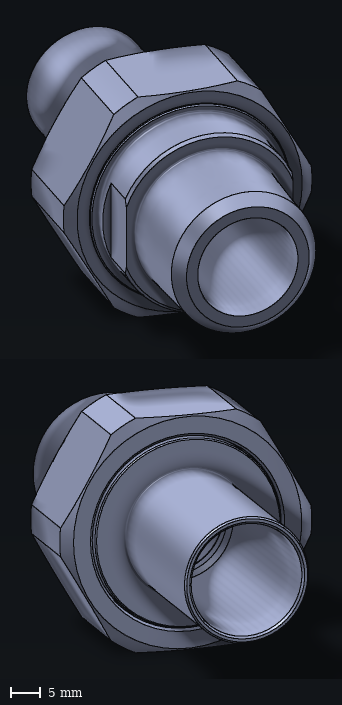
import cadquery as cq
import math

LENGTH = 76.0

TUBE_DIA = 22.05
TUBE_BORE = 19.6
TUBE_END_OUTER_CHAMFER = 0.3
TUBE_END_INNER_CHAMFER = 0.4
HUB_DIA = 33.0
HUB_START = 30.9
HUB_CHAMFER = 0.2
ROOT_FILLET = 0.4
THROAT_DIA = 18.2
THROAT_START = 36.5
THROAT_TAPER_LENGTH = 1.15

NUT_START = 31.3
NUT_END = 48.5
ACROSS_FLATS = 41.0
ACROSS_CORNERS = 44.7
FACE_DIA = 40.4
CORNER_CHAMFER_LENGTH = 0.9
LIP_BORE = 33.5
LIP_LENGTH = 3.05
LIP_CHAMFER = 0.45
LIP_END = NUT_START + LIP_LENGTH

JOINT_X = 39.5
THREAD_DIA = 36.0
THREAD_END = 49.1
THREAD_CHAMFER = 0.2
BODY_BORE = 18.0
COLLAR_DIA = HUB_DIA
COLLAR_END = 58.0
COLLAR_CHAMFER = 0.5
COLLAR_ROOT_FILLET = 0.6
FLAT_START = 50.8
FLAT_SPACING = 29.95
SPIGOT_BASE_DIA = 26.9
SPIGOT_TIP_DIA = 26.0
SPIGOT_ROOT_FILLET = 0.45
SPIGOT_CHAMFER = 2.0


def x_cylinder(diameter, start, end):
    """Solid cylinder along X."""
    return cq.Workplane("YZ", origin=(start, 0, 0)).circle(diameter / 2).extrude(end - start)


def revolve_about_x(profile):
    """Turn a closed profile of (x, radius) about the X axis."""
    return profile.close().revolve(360, (0, 0, 0), (1, 0, 0))


def root_arc(profile, x, radius, fillet, rising):
    """Add a concave quarter arc between a cylinder of this radius and a face at this x."""
    middle_offset = fillet * (1 - math.sqrt(0.5))
    if rising:
        middle = (x - middle_offset, radius + middle_offset)
        return profile.lineTo(x - fillet, radius).threePointArc(middle, (x, radius + fillet))
    middle = (x + middle_offset, radius + middle_offset)
    return profile.lineTo(x, radius + fillet).threePointArc(middle, (x + fillet, radius))


def make_tailpiece():
    tube_r = TUBE_DIA / 2
    bore_r = TUBE_BORE / 2
    hub_r = HUB_DIA / 2
    throat_r = THROAT_DIA / 2
    profile = (
        cq.Workplane("XY")
        .moveTo(0, bore_r + TUBE_END_INNER_CHAMFER)
        .lineTo(0, tube_r - TUBE_END_OUTER_CHAMFER)
        .lineTo(TUBE_END_OUTER_CHAMFER, tube_r)
    )
    profile = root_arc(profile, HUB_START, tube_r, ROOT_FILLET, rising=True)
    profile = (
        profile
        .lineTo(HUB_START, hub_r - HUB_CHAMFER)
        .lineTo(HUB_START + HUB_CHAMFER, hub_r)
        .lineTo(LIP_END, hub_r)
        .lineTo(LIP_END, THREAD_DIA / 2)
        .lineTo(JOINT_X, THREAD_DIA / 2)
        .lineTo(JOINT_X, throat_r)
        .lineTo(THROAT_START + THROAT_TAPER_LENGTH, throat_r)
        .lineTo(THROAT_START, bore_r)
        .lineTo(TUBE_END_INNER_CHAMFER, bore_r)
    )
    return revolve_about_x(profile)


def make_nut():
    corner_circle = ACROSS_FLATS / math.cos(math.pi / 6)
    hexagon = (
        cq.Workplane("YZ", origin=(NUT_START, 0, 0))
        .polygon(6, corner_circle)
        .extrude(NUT_END - NUT_START)
    )
    face_r = FACE_DIA / 2
    outer_r = ACROSS_CORNERS / 2
    envelope = revolve_about_x(
        cq.Workplane("XY")
        .moveTo(NUT_START, 0)
        .lineTo(NUT_START, face_r)
        .lineTo(NUT_START + CORNER_CHAMFER_LENGTH, outer_r)
        .lineTo(NUT_END - CORNER_CHAMFER_LENGTH, outer_r)
        .lineTo(NUT_END, face_r)
        .lineTo(NUT_END, 0)
    )
    lip_r = LIP_BORE / 2
    bore = revolve_about_x(
        cq.Workplane("XY")
        .moveTo(NUT_START, 0)
        .lineTo(NUT_START, lip_r + LIP_CHAMFER)
        .lineTo(NUT_START + LIP_CHAMFER, lip_r)
        .lineTo(LIP_END, lip_r)
        .lineTo(LIP_END, THREAD_DIA / 2)
        .lineTo(NUT_END, THREAD_DIA / 2)
        .lineTo(NUT_END, 0)
    )
    return hexagon.intersect(envelope).cut(bore)


def cut_wrench_flats(body):
    """Cut the two flats on the -Y and +Y sides of the collar."""
    cutter_depth = COLLAR_DIA
    for side in (-1, 1):
        cutter = cq.Workplane("XY").box(
            COLLAR_END - FLAT_START, cutter_depth, COLLAR_DIA, centered=(False, True, True)
        )
        offset = side * (FLAT_SPACING + cutter_depth) / 2
        body = body.cut(cutter.translate((FLAT_START, offset, 0)))
    return body


def make_body():
    thread_r = THREAD_DIA / 2
    collar_r = COLLAR_DIA / 2
    base_r = SPIGOT_BASE_DIA / 2
    tip_r = SPIGOT_TIP_DIA / 2
    profile = (
        cq.Workplane("XY")
        .moveTo(JOINT_X, 0)
        .lineTo(JOINT_X, thread_r)
        .lineTo(THREAD_END - THREAD_CHAMFER, thread_r)
        .lineTo(THREAD_END, thread_r - THREAD_CHAMFER)
    )
    profile = root_arc(profile, THREAD_END, collar_r, COLLAR_ROOT_FILLET, rising=False)
    profile = (
        profile
        .lineTo(COLLAR_END - COLLAR_CHAMFER, collar_r)
        .lineTo(COLLAR_END, collar_r - COLLAR_CHAMFER)
    )
    profile = root_arc(profile, COLLAR_END, base_r, SPIGOT_ROOT_FILLET, rising=False)
    profile = (
        profile
        .lineTo(LENGTH - SPIGOT_CHAMFER, tip_r)
        .lineTo(LENGTH, tip_r - SPIGOT_CHAMFER)
        .lineTo(LENGTH, 0)
    )
    body = cut_wrench_flats(revolve_about_x(profile))
    return body.cut(x_cylinder(BODY_BORE, JOINT_X, LENGTH))


tailpiece = make_tailpiece()
nut = make_nut()
body = make_body()

result = cq.Compound.makeCompound([*tailpiece.solids().vals(), *nut.solids().vals(), *body.solids().vals()])